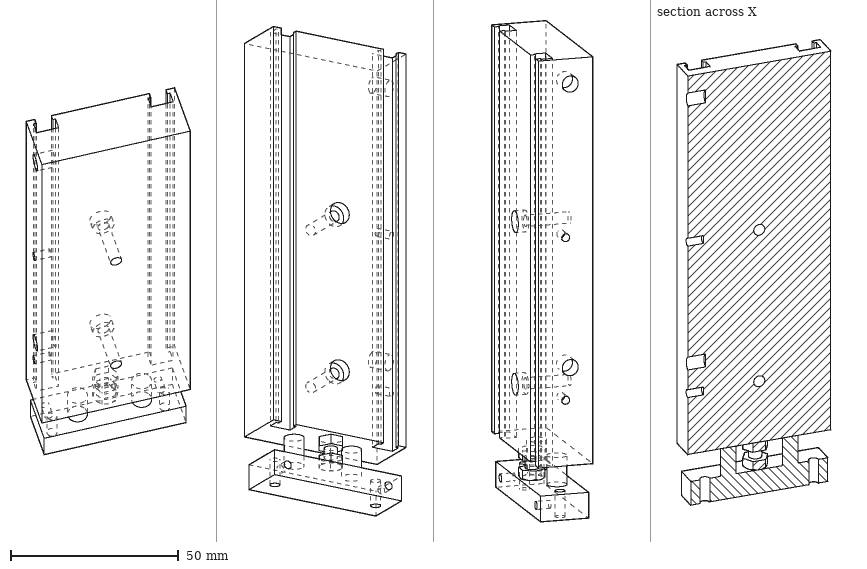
import cadquery as cq
import math

total_height = 142.0
gap = 9.0

housing_x = 17.0
housing_y = 46.0
housing_front = -housing_x / 2

slot_lip_width = 2.7
slot_opening = 5.1
slot_width = 6.8
slot_lip_thickness = 1.5
slot_depth = 5.0
slot_y = housing_y / 2 - slot_lip_width - slot_opening / 2

mount_diameter = 3.4
mount_bore_diameter = 6.5
mount_bore_depth = 3.3
hole_lower_z = 37.0
hole_pitch = 50.0
row_heights = [hole_lower_z, hole_lower_z + hole_pitch]
small_hole_diameter = 2.4
small_hole_depth = 5.0
port_diameter = 5.0
port_depth = 5.7
port_lower_z = 47.0
port_pitch = 87.2
port_heights = [port_lower_z, port_lower_z + port_pitch]

plate_x = 15.0
plate_y = 44.0
plate_z = 8.0
rod_diameter = 6.0
rod_x = 1.4
rod_y = 10.0
plate_hole_y = 17.5
plate_hole_diameter = 3.0
plate_tap_diameter = 2.4
plate_tap_depth = 4.3

stud_diameter = 4.0
hex_sides = 6
hex_flats = 7.0
hex_corners = hex_flats / math.cos(math.pi / hex_sides)
hex_height = 3.0
bolt_x = -3.3
hex_cone_angle = 40
hex_cone_slope = math.tan(math.radians(hex_cone_angle))

housing_bottom = plate_z + gap
housing_z = total_height - housing_bottom


def block(x, y, z, bottom):
    """Box centred in X and Y, standing on the given height."""
    return cq.Workplane("XY").workplane(offset=bottom).box(x, y, z, centered=(True, True, False))


def cylinder_along(start, direction, diameter, length):
    """Cylinder from a start point along a direction."""
    return cq.Workplane(cq.Solid.makeCylinder(diameter / 2, length, cq.Vector(*start), cq.Vector(*direction)))


def t_slot(y):
    """Full-height T-slot cutter, open on the slotted face."""
    slot_middle = (y, housing_bottom + housing_z / 2)
    face = cq.Workplane("YZ", origin=(housing_front, 0, 0))
    opening = face.center(*slot_middle).rect(slot_opening, housing_z).extrude(slot_depth)
    undercut = (
        face.workplane(offset=slot_lip_thickness)
        .center(*slot_middle)
        .rect(slot_width, housing_z)
        .extrude(slot_depth - slot_lip_thickness)
    )
    return opening.union(undercut)


def make_housing():
    body = block(housing_x, housing_y, housing_z, housing_bottom)
    for side in (-1, 1):
        body = body.cut(t_slot(side * slot_y))
    for z in row_heights:
        mount_start = (housing_front, 0, z)
        body = body.cut(cylinder_along(mount_start, (1, 0, 0), mount_diameter, housing_x))
        body = body.cut(cylinder_along(mount_start, (1, 0, 0), mount_bore_diameter, mount_bore_depth))
        side_start = (0, -housing_y / 2, z)
        body = body.cut(cylinder_along(side_start, (0, 1, 0), small_hole_diameter, small_hole_depth))
    for z in port_heights:
        body = body.cut(cylinder_along((rod_x, -housing_y / 2, z), (0, 1, 0), port_diameter, port_depth))
    return body


def make_end_plate():
    plate = block(plate_x, plate_y, plate_z, 0)
    for side in (-1, 1):
        hole_y = side * plate_hole_y
        tap_start = (-plate_x / 2, hole_y, plate_z / 2)
        plate = plate.cut(cylinder_along((0, hole_y, 0), (0, 0, 1), plate_hole_diameter, plate_z))
        plate = plate.cut(cylinder_along(tap_start, (1, 0, 0), plate_tap_diameter, plate_tap_depth))
        plate = plate.union(cylinder_along((rod_x, side * rod_y, plate_z), (0, 0, 1), rod_diameter, gap))
    return plate


def hexagon(bottom):
    """Hexagonal prism with corners on Y."""
    return (
        cq.Workplane("XY", origin=(bolt_x, 0, bottom))
        .transformed(rotate=(0, 0, 90))
        .polygon(hex_sides, hex_corners)
        .extrude(hex_height)
    )


def nut_cone():
    """Cone that bevels the corners of the lower hexagon towards the end plate."""
    flat_radius = hex_flats / 2
    top_radius = flat_radius + hex_height / hex_cone_slope
    return cq.Workplane(
        cq.Solid.makeCone(flat_radius, top_radius, hex_height, cq.Vector(bolt_x, 0, plate_z))
    )


def make_stop_bolt():
    stud = cylinder_along((bolt_x, 0, plate_z), (0, 0, 1), stud_diameter, gap)
    nut = hexagon(plate_z).intersect(nut_cone())
    head = hexagon(housing_bottom - hex_height)
    return stud.union(nut).union(head)


housing = make_housing()
end_plate = make_end_plate()
stop_bolt = make_stop_bolt()

result = cq.Compound.makeCompound([housing.val(), end_plate.val(), stop_bolt.val()])